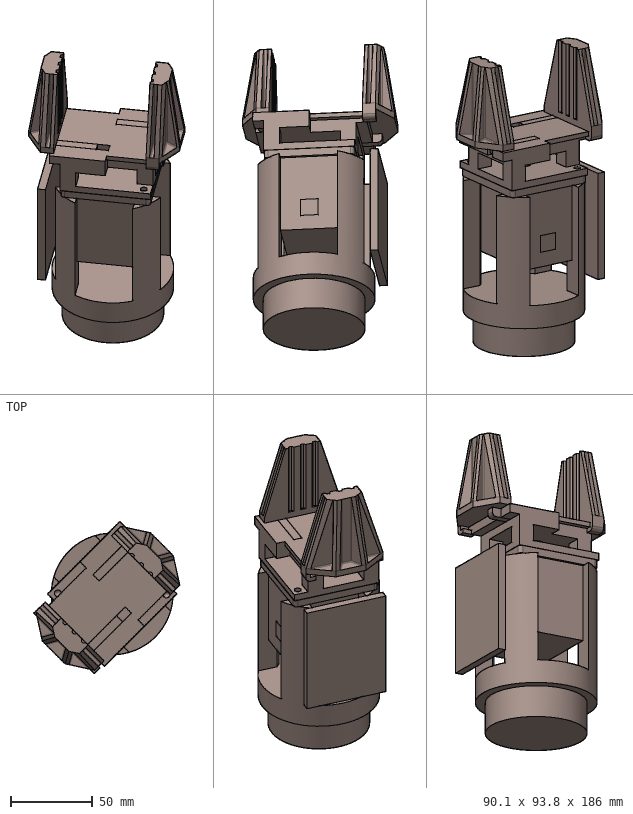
import cadquery as cq
import math

TRAVEL_ANGLE = 45.0

SPIGOT_RADIUS = 31.5
SPIGOT_HEIGHT = 20.0
HOUSING_RADIUS = 37.5
RING_TOP = 35.0
POST_TOP = 105.0
BORE_RADIUS = 27.3
SLOT_WIDTH = 36.0

BLOCK_LENGTH_Y = 52.5
BLOCK_BOTTOM = 56.0
SOCKET_WIDTH = 11.0
SOCKET_DEPTH = 5.0
SOCKET_BOTTOM = 65.5
SOCKET_TOP = 76.3

PANEL_THICKNESS = 5.0
PANEL_WIDTH = 52.8
PANEL_CENTRE_Y = -0.5
PANEL_BOTTOM = 39.8
PANEL_TOP = 108.6

ADAPTER_SIDE = 56.0
ADAPTER_CORNER_RADIUS = 2.5
ADAPTER_TOP = 110.0

BODY_HALF_LENGTH = 28.3
BODY_HALF_WIDTH = 28.3
HEAD_HALF_LENGTH = 35.0
SLAB_TOP = 114.4
WINDOW_TOP = 124.8
HEAD_BOTTOM = 130.0
LIP_BOTTOM = 132.8
BODY_TOP = 135.8
STEP_Y = 19.2
LIP_Y = 22.7
SIDE_WINDOW_HALF_LENGTH = 18.5
END_WINDOW_INNER_Y = 8.7
END_WINDOW_OUTER_Y = 18.2
PIN_RADIUS = 4.0
KEYWAY_INNER_Y = 11.3
KEYWAY_OUTER_Y = 16.7
DRILL_X = 23.5
DRILL_Y = 24.0
DRILL_DIAMETER = 4.0
DRILL_DEPTH = 2.6
DRILL_POINT_ANGLE = 118.0

FINGER_POSITIONS = ((0.0, 25.1), (180.0, 32.7))
FLANGE_TOP = 139.9
FINGER_TOP = 186.0
FLANGE_HALF_WIDTH = 25.7
FLANGE_SIDE_DEPTH = 8.2
FLANGE_DEPTH = 18.2
FLANGE_FRONT_HALF_WIDTH = 10.0
TIP_HALF_WIDTH = 11.7
TIP_DEPTH = 11.2
TIP_FRONT_HALF_WIDTH = 6.1
RIB_ANGLE = 30.0
RIB_THICKNESS = 4.6
VALLEY_FILLET = 0.5
SIDE_RIB_DEPTH = 9.7
SIDE_GROOVE_START = 2.2
SIDE_GROOVE_END = 5.0
GRIP_GROOVE_PITCH = 8.0
GRIP_GROOVE_WIDTH = 3.7
GRIP_GROOVE_FLOOR = 1.7
GRIP_GROOVE_DEPTH = 1.4
KEY_LENGTH_INWARD = 25.1
FOOT_FILLET = 2.6


def box(x_range, y_range, z_range):
    """Box between the given lower and upper limits along X, Y and Z."""
    (x0, x1), (y0, y1), (z0, z1) = x_range, y_range, z_range
    return cq.Workplane("XY").box(x1 - x0, y1 - y0, z1 - z0, centered=False).translate((x0, y0, z0))


def prism(points, bottom, top):
    """Upright prism over a closed polygon."""
    return cq.Workplane("XY").workplane(offset=bottom).polyline(points).close().extrude(top - bottom)


def half_turn(shape):
    """Copy turned by 180 degrees about Z."""
    return shape.rotate((0, 0, 0), (0, 0, 1), 180)


def make_housing():
    half_slot = SLOT_WIDTH / 2
    across = (-HOUSING_RADIUS, HOUSING_RADIUS)
    posts_z = (RING_TOP, POST_TOP)
    spigot = cq.Workplane("XY").circle(SPIGOT_RADIUS).extrude(SPIGOT_HEIGHT)
    tube = (
        cq.Workplane("XY").workplane(offset=SPIGOT_HEIGHT)
        .circle(HOUSING_RADIUS).extrude(POST_TOP - SPIGOT_HEIGHT)
    )
    bore = cq.Workplane("XY").workplane(offset=RING_TOP).circle(BORE_RADIUS).extrude(POST_TOP - RING_TOP)
    slot_x = box(across, (-half_slot, half_slot), posts_z)
    slot_y = box((-half_slot, half_slot), across, posts_z)
    return spigot.union(tube.cut(bore).cut(slot_x).cut(slot_y))


def make_socket():
    face_y = BLOCK_LENGTH_Y / 2
    return box(
        (-SOCKET_WIDTH / 2, SOCKET_WIDTH / 2),
        (face_y - SOCKET_DEPTH, face_y),
        (SOCKET_BOTTOM, SOCKET_TOP),
    )


def make_drive_block():
    block = box(
        (-SLOT_WIDTH / 2, SLOT_WIDTH / 2),
        (-BLOCK_LENGTH_Y / 2, BLOCK_LENGTH_Y / 2),
        (BLOCK_BOTTOM, POST_TOP),
    )
    return block.cut(make_socket())


def make_panel():
    return box(
        (-HOUSING_RADIUS - PANEL_THICKNESS, -HOUSING_RADIUS),
        (PANEL_CENTRE_Y - PANEL_WIDTH / 2, PANEL_CENTRE_Y + PANEL_WIDTH / 2),
        (PANEL_BOTTOM, PANEL_TOP),
    )


def make_adapter():
    plate = cq.Workplane("XY").workplane(offset=POST_TOP).rect(ADAPTER_SIDE, ADAPTER_SIDE)
    return plate.extrude(ADAPTER_TOP - POST_TOP).edges("|Z").fillet(ADAPTER_CORNER_RADIUS)


def stepped_block(half_length, step_y, bottom, top):
    """Block at full width on one side of each half and stepped in on the opposite side."""
    right_half = box((0, half_length), (-step_y, BODY_HALF_WIDTH), (bottom, top))
    return right_half.union(half_turn(right_half))


def make_drill():
    """Blind drilled hole with a conical end, entering the slab from above."""
    radius = DRILL_DIAMETER / 2
    point_height = radius / math.tan(math.radians(DRILL_POINT_ANGLE / 2))
    profile = [
        (0, SLAB_TOP),
        (radius, SLAB_TOP),
        (radius, SLAB_TOP - DRILL_DEPTH),
        (0, SLAB_TOP - DRILL_DEPTH - point_height),
    ]
    drill = cq.Workplane("XZ").polyline(profile).close().revolve(360, (0, 0, 0), (0, 1, 0))
    return drill.translate((-DRILL_X, DRILL_Y, 0))


def make_gripper_body():
    slab = box(
        (-BODY_HALF_LENGTH, BODY_HALF_LENGTH),
        (-BODY_HALF_WIDTH, BODY_HALF_WIDTH),
        (ADAPTER_TOP, SLAB_TOP),
    )
    body = (
        slab
        .union(stepped_block(BODY_HALF_LENGTH, STEP_Y, SLAB_TOP, HEAD_BOTTOM))
        .union(stepped_block(HEAD_HALF_LENGTH, STEP_Y, HEAD_BOTTOM, LIP_BOTTOM))
        .union(stepped_block(HEAD_HALF_LENGTH, LIP_Y, LIP_BOTTOM, BODY_TOP))
    )
    window_z = (SLAB_TOP, WINDOW_TOP)
    side_window = box(
        (-SIDE_WINDOW_HALF_LENGTH, SIDE_WINDOW_HALF_LENGTH),
        (-BODY_HALF_WIDTH, BODY_HALF_WIDTH),
        window_z,
    )
    end_window = box((0, BODY_HALF_LENGTH), (-END_WINDOW_INNER_Y, END_WINDOW_OUTER_Y), window_z)
    keyway = box((0, HEAD_HALF_LENGTH), (KEYWAY_INNER_Y, KEYWAY_OUTER_Y), (HEAD_BOTTOM, BODY_TOP))
    drill = make_drill()
    body = body.cut(side_window)
    for cutter in (end_window, keyway, drill):
        body = body.cut(cutter).cut(half_turn(cutter))
    pin = cq.Workplane("XY").workplane(offset=SLAB_TOP).circle(PIN_RADIUS).extrude(WINDOW_TOP - SLAB_TOP)
    return body.union(pin)


def finger_outline(half_width, side_depth, depth, front_half_width):
    """Half-octagon with its flat side on X = 0."""
    return [
        (0, -half_width),
        (side_depth, -half_width),
        (depth, -front_half_width),
        (depth, front_half_width),
        (side_depth, half_width),
        (0, half_width),
    ]


def make_valleys():
    """Upright pockets between the ribs, open outward and reaching down to the flange."""
    beyond = 2 * FLANGE_HALF_WIDTH
    slope = math.tan(math.radians(RIB_ANGLE))
    rib_offset = RIB_THICKNESS / 2 / math.cos(math.radians(RIB_ANGLE))

    def rib_centre_y(x):
        return FLANGE_FRONT_HALF_WIDTH + (x - FLANGE_DEPTH) * slope

    def rib_inner_y(x):
        return rib_centre_y(x) - rib_offset

    def rib_outer_y(x):
        return rib_centre_y(x) + rib_offset

    front = [
        (TIP_DEPTH, -rib_inner_y(TIP_DEPTH)),
        (beyond, -rib_inner_y(beyond)),
        (beyond, rib_inner_y(beyond)),
        (TIP_DEPTH, rib_inner_y(TIP_DEPTH)),
    ]
    corner = [
        (SIDE_RIB_DEPTH, rib_outer_y(SIDE_RIB_DEPTH)),
        (beyond, rib_outer_y(beyond)),
        (SIDE_RIB_DEPTH, beyond),
    ]
    side = [
        (SIDE_GROOVE_START, TIP_HALF_WIDTH),
        (SIDE_GROOVE_END, TIP_HALF_WIDTH),
        (SIDE_GROOVE_END, beyond),
        (SIDE_GROOVE_START, beyond),
    ]

    def rounded_pocket(outline):
        return prism(outline, FLANGE_TOP, FINGER_TOP).edges("|Z or <Z").fillet(VALLEY_FILLET)

    valleys = [rounded_pocket(front)]
    for outline in (corner, side):
        valley = rounded_pocket(outline)
        valleys += [valley, valley.mirror("XZ")]
    return valleys


def make_grip_groove(centre_y):
    """Trapezoidal groove in the flat gripping face."""
    half_mouth = GRIP_GROOVE_WIDTH / 2
    half_floor = GRIP_GROOVE_FLOOR / 2
    outline = [
        (0, centre_y - half_mouth),
        (GRIP_GROOVE_DEPTH, centre_y - half_floor),
        (GRIP_GROOVE_DEPTH, centre_y + half_floor),
        (0, centre_y + half_mouth),
    ]
    return prism(outline, FLANGE_TOP, FINGER_TOP)


def make_hook():
    """Foot that wraps around the lip of the gripper body."""
    upper = box((0, FLANGE_SIDE_DEPTH), (-FLANGE_HALF_WIDTH, -LIP_Y), (LIP_BOTTOM, BODY_TOP))
    lower = box((0, FLANGE_SIDE_DEPTH), (-FLANGE_HALF_WIDTH, -STEP_Y), (HEAD_BOTTOM, LIP_BOTTOM))
    return upper.union(lower).edges("|X and <Y and <Z").fillet(FOOT_FILLET)


def make_key():
    """Bar that slides in the keyway of the gripper body."""
    bar = box(
        (-KEY_LENGTH_INWARD, FLANGE_SIDE_DEPTH),
        (KEYWAY_INNER_Y, KEYWAY_OUTER_Y),
        (HEAD_BOTTOM, BODY_TOP),
    )
    return bar.edges("|Y and >X and <Z").fillet(FOOT_FILLET)


def make_finger(turn, distance):
    """Finger with its gripping face at the given distance from the centre."""
    flange_outline = finger_outline(
        FLANGE_HALF_WIDTH, FLANGE_SIDE_DEPTH, FLANGE_DEPTH, FLANGE_FRONT_HALF_WIDTH
    )
    slant = (FLANGE_DEPTH - FLANGE_SIDE_DEPTH) / (FLANGE_HALF_WIDTH - FLANGE_FRONT_HALF_WIDTH)
    tip_side_depth = TIP_DEPTH - slant * (TIP_HALF_WIDTH - TIP_FRONT_HALF_WIDTH)
    tip_outline = finger_outline(TIP_HALF_WIDTH, tip_side_depth, TIP_DEPTH, TIP_FRONT_HALF_WIDTH)
    tower = (
        cq.Workplane("XY").workplane(offset=FLANGE_TOP).polyline(flange_outline).close()
        .workplane(offset=FINGER_TOP - FLANGE_TOP).polyline(tip_outline).close()
        .loft(ruled=True)
    )
    for valley in make_valleys():
        tower = tower.cut(valley)
    for step in (-1, 0, 1):
        tower = tower.cut(make_grip_groove(step * GRIP_GROOVE_PITCH))
    flange = prism(flange_outline, BODY_TOP, FLANGE_TOP)
    finger = tower.union(flange).union(make_hook()).union(make_key())
    return finger.translate((distance, 0, 0)).rotate((0, 0, 0), (0, 0, 1), turn)


housing = make_housing()
drive_block = make_drive_block()
socket = make_socket()
panel = make_panel()
adapter = make_adapter()
gripper_body = make_gripper_body()
fingers = [make_finger(turn, distance) for turn, distance in FINGER_POSITIONS]

bodies = [housing, drive_block, socket, panel, adapter, gripper_body, *fingers]
result = cq.Compound.makeCompound(
    [body.rotate((0, 0, 0), (0, 0, 1), TRAVEL_ANGLE).val() for body in bodies]
)